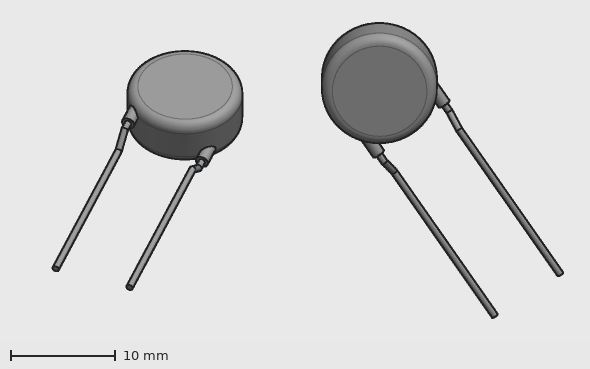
import cadquery as cq


case_diameter = 11.0
case_height = 5.0
case_edge_radius = 1.0

collar_diameter = 1.25

lead_diameter = 0.65
lead_spacing = 7.5
lead_offset_z = 1.3
total_length = 31.0
exit_length = 0.93
bend_run = 1.67

case_radius = case_diameter / 2
collar_end_y = -case_radius
first_bend_y = collar_end_y - exit_length
second_bend_y = first_bend_y - bend_run
lead_tip_y = case_radius - total_length

lead_sides = [(-1, 1), (1, -1)]


def lead_exit(side_x, side_z):
    """X and Z of the point where a lead leaves its collar."""
    return side_x * lead_spacing / 2, side_z * lead_offset_z


def make_collar(side_x, side_z):
    """Round collar from inside the case out to the level of the case rim."""
    x, z = lead_exit(side_x, side_z)
    return (
        cq.Workplane("XZ")
        .center(x, z)
        .circle(collar_diameter / 2)
        .extrude(-collar_end_y)
    )


def make_case():
    """Disc with rounded rims and one collar for each lead."""
    case = (
        cq.Workplane("XY")
        .cylinder(case_height, case_radius)
        .edges(">Z or <Z")
        .fillet(case_edge_radius)
    )
    for side_x, side_z in lead_sides:
        case = case.union(make_collar(side_x, side_z))
    return case


def make_lead(side_x, side_z):
    """Round wire from the collar face, through two mitred bends, to the tip."""
    x, z = lead_exit(side_x, side_z)
    path = cq.Workplane("YZ", origin=(x, 0, 0)).polyline(
        [
            (collar_end_y, z),
            (first_bend_y, z),
            (second_bend_y, 0),
            (lead_tip_y, 0),
        ]
    )
    return (
        cq.Workplane("XZ", origin=(x, collar_end_y, z))
        .circle(lead_diameter / 2)
        .sweep(path, transition="right")
    )


case = make_case()
leads = [make_lead(side_x, side_z) for side_x, side_z in lead_sides]

result = cq.Compound.makeCompound([case.val(), *[lead.val() for lead in leads]])